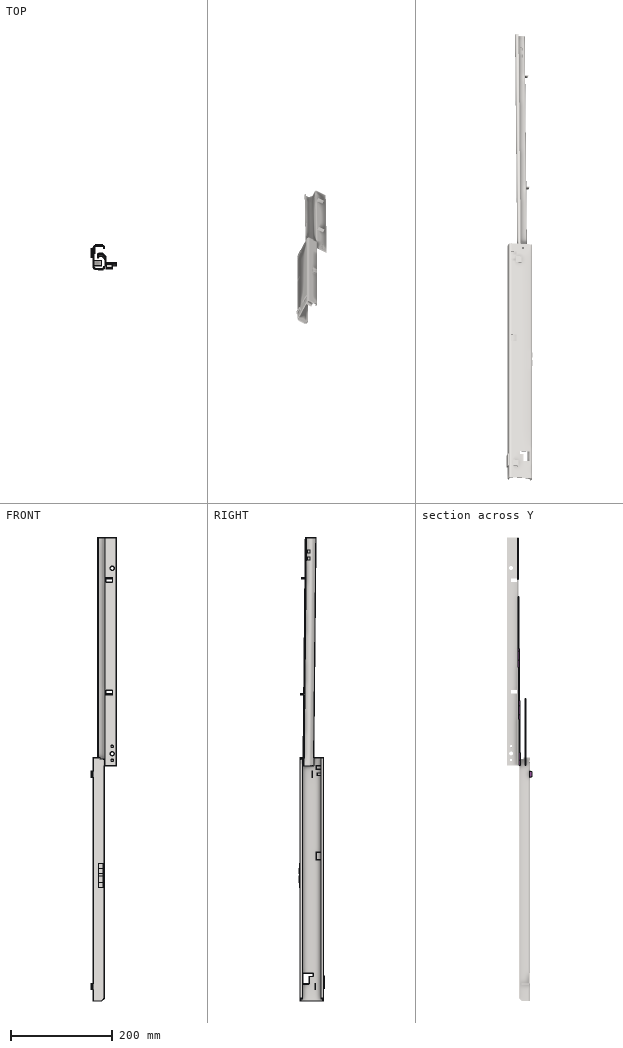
import cadquery as cq
import math

TOTAL_X = 49.43
TOTAL_Y = 50.2
TOTAL_Z = 915.02
X_MIN = -TOTAL_X / 2
X_MAX = TOTAL_X / 2
Y_MIN = -TOTAL_Y / 2
Y_MAX = TOTAL_Y / 2

CHANNEL_LENGTH = 481.0
CHANNEL_WALL = 1.9
WEB_OUTER_X = -20.8
FLANGE_OUTER_Y = 23.4
LIP_OUTER_X = 1.2
LIP_END_Y = 18.0
CHANNEL_BEND = 3.6
LIP_BEND = 1.9
WEB_INNER_X = WEB_OUTER_X + CHANNEL_WALL
FLANGE_CORNER = 6.0

HOOK_HEIGHT = 12.0
HOOK_WALL = 1.6
UPPER_HOOK_Z = 448.0
UPPER_HOOK_Y = (0.0, 11.0)
LOWER_HOOK_Z = 29.0
LOWER_HOOK_Y = (6.0, 18.0)
PRESS_DEPTH = 1.5
UPPER_POCKET = {"y": (9.0, 20.0), "z": 461.5, "height": 6.5}
MIDDLE_POCKET = {"y": (9.0, 20.5), "z": 287.0, "height": 14.0}
GROOVE_Y = (11.0, 20.0)
GROOVE_HEIGHT = 4.0
PIN_HOLE_Y = -4.0
PIN_HOLE_Z = 472.5
PIN_HOLE_DIAMETER = 5.0
WINDOW_Y = (-17.5, -5.0)
WINDOW_Z = (35.0, 55.0)
NOTCH_Y = 2.5
NOTCH_HEIGHT = 6.0
SHELF_Y = (-16.5, -6.0)
SHELF_END_X = -4.0
SHELF_WALL = 2.0
SIDE_PAD_X = (-16.5, -2.0)
SIDE_PAD_Z = (25.0, 49.5)
SNAP_X = (-10.0, -1.5)
SNAP_BASE_Z = (224.0, 272.0)
SNAP_BASE_HEIGHT = 0.4
SNAP_PADS_Z = [(234.5, 246.8), (252.0, 261.5)]
TOP_STEP_X = -7.5
TOP_STEP_HEIGHT = 3.0

RAIL_LENGTH = 450.5
RAIL_WALL = 2.4
RAIL_LEAN = 0.58
RAIL_CREST_Y = 8.5
RAIL_LIP_X = -12.6
RAIL_LIP_END_Y = 3.3
RAIL_NECK_X = 2.2
RAIL_FLANGE_Y = -12.8
RAIL_BEND = 3.0
RAIL_FLANGE_BEND = 1.5
RAIL_SLOPE_RUN = 6.0
RAIL_SLOPE_END_Y = 1.0

RAIL_HOLE_X = 16.7
RAIL_HOLES = [(854.5, 8.0), (503.0, 4.5), (488.5, 7.5), (475.5, 4.5)]
UPPER_TAB_Z = (833.6, 836.0)
LOWER_TAB_Z = (604.6, 607.0)
TAB_X = (4.6, 17.0)
TAB_LENGTH = 6.5
UPPER_OPENING_Z = (827.0, 836.0)
LOWER_OPENING_Z = (604.6, 613.6)
RAIL_RECESS_Z = [888.0, 874.0]
RAIL_RECESS_Y = (-8.0, -3.0)
RAIL_RECESS_HEIGHT = 6.0
RAIL_RECESS_DEPTH = 1.0


def block(x, y, z):
    """Box filling the given (low, high) ranges."""
    size = [high - low for low, high in (x, y, z)]
    return cq.Workplane("XY").box(*size, centered=False).translate((x[0], y[0], z[0]))


def span(centre, size):
    """Range of the given size about a centre."""
    return (centre - size / 2, centre + size / 2)


def side_normals(points):
    """Unit normal to the left of each straight of a path."""
    normals = []
    for (x0, y0), (x1, y1) in zip(points, points[1:]):
        length = math.hypot(x1 - x0, y1 - y0)
        normals.append(((y0 - y1) / length, (x1 - x0) / length))
    return normals


def offset_path(points, distance):
    """Path moved to its left, with mitred corners."""
    normals = side_normals(points)
    before = [normals[0]] + normals
    after = normals + [normals[-1]]
    moved = []
    for (x, y), (ax, ay), (bx, by) in zip(points, before, after):
        scale = distance / (1 + ax * bx + ay * by)
        moved.append((x + scale * (ax + bx), y + scale * (ay + by)))
    return moved


def draw_rounded(outline, points, radii):
    """Continue an outline along a path, with each inner corner rounded."""
    for before, corner, after, radius in zip(points, points[1:], points[2:], radii):
        reach_in = math.dist(before, corner)
        reach_out = math.dist(corner, after)
        ux, uy = [(b - c) / reach_in for b, c in zip(before, corner)]
        vx, vy = [(a - c) / reach_out for a, c in zip(after, corner)]
        half_angle = math.acos(ux * vx + uy * vy) / 2
        tangent = radius / math.tan(half_angle)
        apex = radius / math.sin(half_angle) - radius
        bisector = math.hypot(ux + vx, uy + vy)
        middle = (
            corner[0] + apex * (ux + vx) / bisector,
            corner[1] + apex * (uy + vy) / bisector,
        )
        start = (corner[0] + tangent * ux, corner[1] + tangent * uy)
        end = (corner[0] + tangent * vx, corner[1] + tangent * vy)
        outline = outline.lineTo(*start).threePointArc(middle, end)
    return outline.lineTo(*points[-1])


def bent_strip(points, radii, wall, length):
    """Sheet of constant thickness bent along a middle path and extruded up Z."""
    normals = side_normals(points)
    left_radii = []
    right_radii = []
    for (ax, ay), (bx, by), radius in zip(normals, normals[1:], radii):
        turn = math.copysign(wall / 2, ax * by - ay * bx)
        left_radii.append(radius - turn)
        right_radii.append(radius + turn)
    left = offset_path(points, wall / 2)
    right = offset_path(points, -wall / 2)
    outline = cq.Workplane("XY").moveTo(*left[0])
    outline = draw_rounded(outline, left, left_radii)
    outline = outline.lineTo(*right[-1])
    outline = draw_rounded(outline, right[::-1], right_radii[::-1])
    return outline.close().extrude(length)


def channel_section():
    lip_x = LIP_OUTER_X - CHANNEL_WALL / 2
    web_x = WEB_OUTER_X + CHANNEL_WALL / 2
    flange_y = FLANGE_OUTER_Y - CHANNEL_WALL / 2
    path = [
        (lip_x, LIP_END_Y),
        (lip_x, flange_y),
        (web_x, flange_y),
        (web_x, -flange_y),
        (lip_x, -flange_y),
        (lip_x, -LIP_END_Y),
    ]
    bends = [LIP_BEND, CHANNEL_BEND, CHANNEL_BEND, LIP_BEND]
    return bent_strip(path, bends, CHANNEL_WALL, CHANNEL_LENGTH)


def flange_corner_cut():
    """Bevel across the free lower corners of both flanges."""
    return (
        cq.Workplane("XZ")
        .moveTo(LIP_OUTER_X - FLANGE_CORNER, 0)
        .lineTo(LIP_OUTER_X, 0)
        .lineTo(LIP_OUTER_X, FLANGE_CORNER)
        .close()
        .extrude(TOTAL_Y / 2, both=True)
    )


def outside_hook(y, z):
    """Hook standing outside the web, joined to it along its -Y edge."""
    heights = span(z, HOOK_HEIGHT)
    plate = block((X_MIN, X_MIN + HOOK_WALL), y, heights)
    root = block((X_MIN, WEB_INNER_X), (y[0], y[0] + HOOK_WALL), heights)
    return plate.union(root)


def press_pocket(channel, y, z, height):
    """Rectangle of the web pressed inward, open on the outside."""
    pad_y = (y[0] - CHANNEL_WALL / 2, y[1] + CHANNEL_WALL / 2)
    pad_z = span(z, height + CHANNEL_WALL)
    pad = block((WEB_INNER_X, WEB_INNER_X + PRESS_DEPTH), pad_y, pad_z)
    recess = block((WEB_OUTER_X, WEB_OUTER_X + PRESS_DEPTH), y, span(z, height))
    return channel.union(pad).cut(recess)


def window_cut():
    web_x = (WEB_OUTER_X, WEB_INNER_X)
    window = block(web_x, WINDOW_Y, WINDOW_Z)
    notch = block(web_x, (WINDOW_Y[1], NOTCH_Y), (WINDOW_Z[1] - NOTCH_HEIGHT, WINDOW_Z[1]))
    return window.union(notch)


def window_shelf():
    """Tab bent inward along the lower edge of the window."""
    return block((WEB_OUTER_X, SHELF_END_X), SHELF_Y, (WINDOW_Z[0] - SHELF_WALL, WINDOW_Z[0]))


def make_channel():
    channel = channel_section().cut(flange_corner_cut())

    for pocket in (UPPER_POCKET, MIDDLE_POCKET):
        channel = press_pocket(channel, **pocket)
    channel = press_pocket(channel, GROOVE_Y, UPPER_HOOK_Z, GROOVE_HEIGHT)

    channel = channel.union(outside_hook(UPPER_HOOK_Y, UPPER_HOOK_Z))
    channel = channel.union(outside_hook(LOWER_HOOK_Y, LOWER_HOOK_Z))
    channel = channel.cut(window_cut()).union(window_shelf())

    pin_hole = (
        cq.Workplane("YZ", origin=(WEB_OUTER_X, PIN_HOLE_Y, PIN_HOLE_Z))
        .circle(PIN_HOLE_DIAMETER / 2)
        .extrude(CHANNEL_WALL)
    )
    channel = channel.cut(pin_hole)

    side_pad_y = (FLANGE_OUTER_Y - CHANNEL_WALL / 2, Y_MAX)
    channel = channel.union(block(SIDE_PAD_X, side_pad_y, SIDE_PAD_Z))

    snap_root_y = CHANNEL_WALL / 2 - FLANGE_OUTER_Y
    snap_base_y = (-FLANGE_OUTER_Y - SNAP_BASE_HEIGHT, snap_root_y)
    channel = channel.union(block(SNAP_X, snap_base_y, SNAP_BASE_Z))
    for pad_z in SNAP_PADS_Z:
        channel = channel.union(block(SNAP_X, (Y_MIN, snap_root_y), pad_z))

    step_x = (TOP_STEP_X, LIP_OUTER_X)
    step_z = (CHANNEL_LENGTH - TOP_STEP_HEIGHT, CHANNEL_LENGTH)
    return channel.cut(block(step_x, (-FLANGE_OUTER_Y, -LIP_END_Y), step_z))


def below_top(heights):
    """Range of heights measured from the rail's top end."""
    return tuple(height - TOTAL_Z for height in heights)


def rail_section():
    half = RAIL_WALL / 2
    lip_x = RAIL_LIP_X + half
    crest_y = RAIL_CREST_Y - half
    neck_x = RAIL_NECK_X + half
    path = [
        (lip_x, RAIL_LIP_END_Y),
        (lip_x, crest_y),
        (neck_x - RAIL_SLOPE_RUN, crest_y),
        (neck_x, RAIL_SLOPE_END_Y),
        (neck_x, RAIL_FLANGE_Y + half),
        (X_MAX, RAIL_FLANGE_Y + half),
    ]
    bends = [RAIL_BEND, RAIL_BEND, RAIL_BEND, RAIL_FLANGE_BEND]
    return bent_strip(path, bends, RAIL_WALL, RAIL_LENGTH)


def make_rail():
    """Rail built upright with its top end at Z = 0, then leaned and lifted."""
    rail = rail_section().translate((0, 0, -RAIL_LENGTH))
    flange_y = (RAIL_FLANGE_Y, RAIL_FLANGE_Y + RAIL_WALL)

    for height, diameter in RAIL_HOLES:
        hole = (
            cq.Workplane("XZ", origin=(RAIL_HOLE_X, flange_y[1], height - TOTAL_Z))
            .circle(diameter / 2)
            .extrude(RAIL_WALL)
        )
        rail = rail.cut(hole)

    tab_y = (RAIL_FLANGE_Y - TAB_LENGTH, flange_y[1])
    for tab_z, opening_z in ((UPPER_TAB_Z, UPPER_OPENING_Z), (LOWER_TAB_Z, LOWER_OPENING_Z)):
        rail = rail.cut(block(TAB_X, flange_y, below_top(opening_z)))
        rail = rail.union(block(TAB_X, tab_y, below_top(tab_z)))

    recess_x = (RAIL_NECK_X, RAIL_NECK_X + RAIL_RECESS_DEPTH)
    for height in RAIL_RECESS_Z:
        recess_z = span(height - TOTAL_Z, RAIL_RECESS_HEIGHT)
        rail = rail.cut(block(recess_x, RAIL_RECESS_Y, recess_z))

    rail = rail.rotate((0, 0, 0), (1, 0, 0), -RAIL_LEAN)
    flange_rise = -RAIL_FLANGE_Y * math.sin(math.radians(RAIL_LEAN))
    return rail.translate((0, 0, TOTAL_Z - flange_rise))


channel = make_channel()
rail = make_rail()
result = cq.Compound.makeCompound([channel.val(), rail.val()])